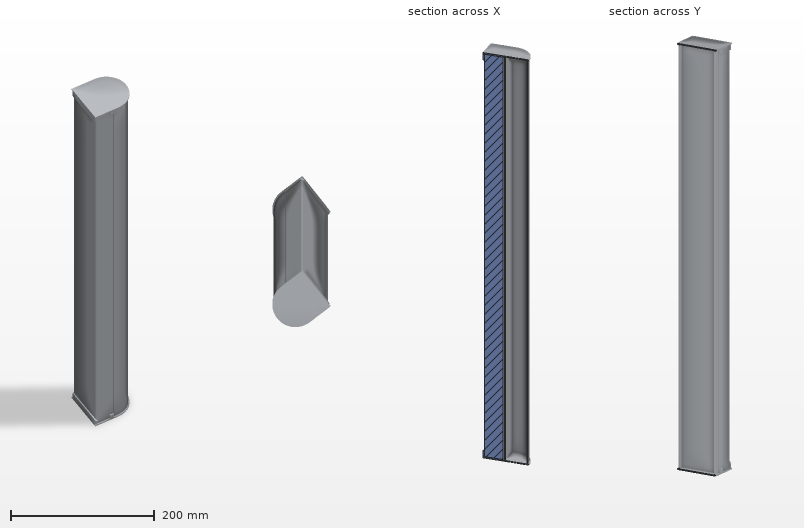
import cadquery as cq

LENGTH = 619.0
WIDTH = 64.5
DEPTH = 69.0

PLATE_THICKNESS = 2.0
OVERHANG = 2.0
SEAM_Y = -5.25
SKIRT_HEIGHT = 12.0
TAB_HEIGHT = 8.5
TAB_WIDTH = 6.0

INSERT_WIDTH = 39.5
INSERT_DEPTH = 9.0
INSERT_Y = 4.0

DIFFUSER_WALL = 2.0
HOUSING_TOP_Y = -7.0
HOUSING_CORNER = 2.0

plate_radius = WIDTH / 2
back_y = plate_radius - DEPTH
body_radius = plate_radius - OVERHANG
body_back_y = back_y + OVERHANG
wrap_radius = HOUSING_CORNER + OVERHANG
top_z = LENGTH / 2
plate_bottom_z = top_z - PLATE_THICKNESS

body_bottom_z = -plate_bottom_z
body_length = 2 * plate_bottom_z


def block(x_min, x_max, y_min, y_max, z_min, z_max):
    """Box between the given limits."""
    size = (x_max - x_min, y_max - y_min, z_max - z_min)
    return cq.Workplane("XY").box(*size, centered=False).translate((x_min, y_min, z_min))


def dome(radius, base_y, bottom_z, height):
    """Half-round prism whose straight sides run on down to a flat base."""
    return (
        cq.Workplane("XY", origin=(0, 0, bottom_z))
        .moveTo(-radius, base_y)
        .lineTo(-radius, 0)
        .threePointArc((0, radius), (radius, 0))
        .lineTo(radius, base_y)
        .close()
        .extrude(height)
    )


def make_housing():
    """Long rectangular housing with rounded back edges."""
    bar = block(-body_radius, body_radius, body_back_y, HOUSING_TOP_Y, body_bottom_z, plate_bottom_z)
    return bar.edges("|Z and <Y").fillet(HOUSING_CORNER)


def make_diffuser():
    """Hollow half-round cover, held a narrow gap above the housing."""
    outer = dome(body_radius, SEAM_Y, body_bottom_z, body_length)
    inner_radius = body_radius - DIFFUSER_WALL
    cavity = dome(inner_radius, SEAM_Y + DIFFUSER_WALL, body_bottom_z, body_length)
    return outer.cut(cavity)


def make_insert():
    """Flush rectangular insert of the upper dome plate."""
    return block(
        -INSERT_WIDTH / 2, INSERT_WIDTH / 2,
        INSERT_Y - INSERT_DEPTH / 2, INSERT_Y + INSERT_DEPTH / 2,
        plate_bottom_z, top_z,
    )


def make_dome_plate():
    """Upper half-round end plate with the opening for its insert."""
    return dome(plate_radius, SEAM_Y, plate_bottom_z, PLATE_THICKNESS).cut(make_insert())


def make_skirt():
    """Band that wraps the rounded back edges of the housing, with its ends cut off at a slant."""
    bottom_z = top_z - SKIRT_HEIGHT
    end_z = top_z - TAB_HEIGHT
    wrap_y = back_y + wrap_radius
    flat_x = plate_radius - wrap_radius
    band = block(-plate_radius, plate_radius, back_y, HOUSING_TOP_Y, bottom_z, plate_bottom_z)
    band = band.edges("|Z and <Y").fillet(wrap_radius).cut(make_housing())
    outline = (
        cq.Workplane("XZ", origin=(0, wrap_y, 0))
        .polyline([
            (-plate_radius, plate_bottom_z),
            (-plate_radius, end_z),
            (-flat_x, bottom_z),
            (flat_x, bottom_z),
            (plate_radius, end_z),
            (plate_radius, plate_bottom_z),
        ])
        .close()
        .extrude(wrap_radius)
    )
    return band.intersect(outline)


def make_end_cap():
    """Upper housing cap: a plate with a back skirt and a tab on each side."""
    plate = block(-plate_radius, plate_radius, back_y, SEAM_Y, plate_bottom_z, top_z)
    tab = block(
        body_radius, plate_radius,
        HOUSING_TOP_Y - TAB_WIDTH, HOUSING_TOP_Y,
        top_z - TAB_HEIGHT, plate_bottom_z,
    )
    return plate.union(make_skirt()).union(tab).union(tab.mirror("YZ"))


def at_both_ends(upper):
    """The given upper body and its mirror image at the lower end."""
    return [upper.val(), upper.mirror("XY").val()]


housing = make_housing()
diffuser = make_diffuser()

result = cq.Compound.makeCompound([
    housing.val(),
    diffuser.val(),
    *at_both_ends(make_dome_plate()),
    *at_both_ends(make_insert()),
    *at_both_ends(make_end_cap()),
])